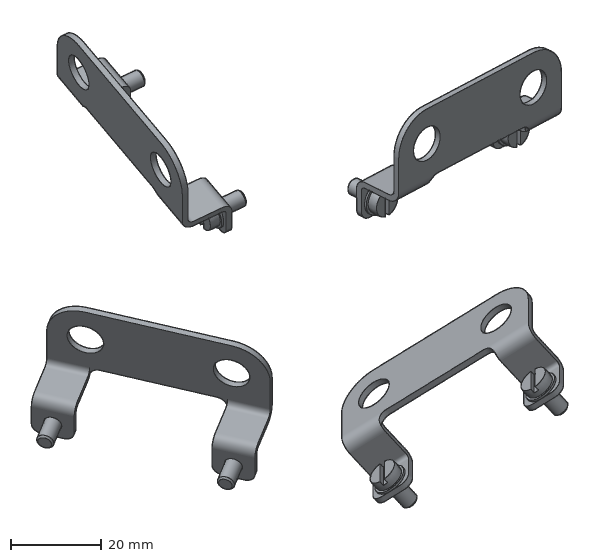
import cadquery as cq


length = 52.0
height = 30.0
depth = 13.0
sheet = 1.5
web_bottom = 9.0
front_bend_inner = 1.5
rear_bend_inner = 1.0
front_bend_outer = front_bend_inner + sheet
rear_bend_outer = rear_bend_inner + sheet
web_top = web_bottom + sheet
plate_bottom = web_bottom + front_bend_outer

plate_corner_radius = 9.0
plate_hole_diameter = 8.5
tab_width = 10.0
tab_corner_radius = 2.5

clearance_hole_diameter = 4.2
screw_x = length / 2 - tab_width / 2
screw_z = 4.0
washer_diameter = 8.0
washer_thickness = 0.5
shank_diameter = 4.0
shank_protrusion = 6.0
shank_chamfer = 0.4
head_height = 2.6
head_end_diameter = 6.8
head_middle_diameter = 7.0
slot_width = 1.2
slot_depth = 1.2

tab_front = depth - sheet
head_back = tab_front - washer_thickness
head_front = head_back - head_height
shank_tip = depth + shank_protrusion


def cylinder_along_y(diameter, x, z, y_start, y_end):
    plane = cq.Plane(origin=(x, y_start, z), xDir=(1, 0, 0), normal=(0, 1, 0))
    return cq.Workplane(plane).circle(diameter / 2).extrude(y_end - y_start)


def bent_sheet():
    """Z-shaped cross-section with rounded bends, extruded over the whole length."""
    sheet_body = (
        cq.Workplane("YZ", origin=(-length / 2, 0, 0))
        .moveTo(0, height)
        .lineTo(0, web_bottom)
        .lineTo(tab_front, web_bottom)
        .lineTo(tab_front, 0)
        .lineTo(depth, 0)
        .lineTo(depth, web_top)
        .lineTo(sheet, web_top)
        .lineTo(sheet, height)
        .close()
        .extrude(length)
    )
    bends = [
        (0, web_bottom, front_bend_outer),
        (sheet, web_top, front_bend_inner),
        (tab_front, web_bottom, rear_bend_inner),
        (depth, web_top, rear_bend_outer),
    ]
    for y, z, radius in bends:
        corner = cq.selectors.NearestToPointSelector((0, y, z))
        sheet_body = sheet_body.edges("|X").edges(corner).fillet(radius)
    return sheet_body


def front_outline():
    """Bracket outline in the XZ plane: plate with rounded top corners and two rounded tabs below.

    It reaches well past the bracket's front and rear faces.
    """
    end_x = length / 2
    notch_x = end_x - tab_width
    return (
        cq.Workplane("XZ")
        .moveTo(-end_x, height)
        .lineTo(end_x, height)
        .lineTo(end_x, 0)
        .lineTo(notch_x, 0)
        .lineTo(notch_x, plate_bottom)
        .lineTo(-notch_x, plate_bottom)
        .lineTo(-notch_x, 0)
        .lineTo(-end_x, 0)
        .close()
        .extrude(2 * depth, both=True)
        .edges("|Y and (not >Z)")
        .fillet(tab_corner_radius)
        .edges("|Y and >Z")
        .fillet(plate_corner_radius)
    )


def web_gap():
    """Straight-sided gap between the tabs, behind the plate: only the plate has rounded notch corners."""
    gap = cq.Workplane("XY").box(
        length - 2 * tab_width, depth, plate_bottom, centered=(True, False, False)
    )
    return gap.translate((0, sheet, 0))


def make_bracket():
    bracket = bent_sheet().intersect(front_outline()).cut(web_gap())
    plate_hole_x = length / 2 - plate_corner_radius
    plate_hole_z = height - plate_corner_radius
    for side in (-1, 1):
        plate_hole = cylinder_along_y(plate_hole_diameter, side * plate_hole_x, plate_hole_z, 0, sheet)
        tab_hole = cylinder_along_y(clearance_hole_diameter, side * screw_x, screw_z, tab_front, depth)
        bracket = bracket.cut(plate_hole).cut(tab_hole)
    return bracket


def make_washer(x):
    disc = cylinder_along_y(washer_diameter, x, screw_z, head_back, tab_front)
    hole = cylinder_along_y(clearance_hole_diameter, x, screw_z, head_back, tab_front)
    return disc.cut(hole)


def make_screw(x):
    """Screw with a slightly barrelled, slotted head, turned about its axis."""
    head_end_radius = head_end_diameter / 2
    shank_radius = shank_diameter / 2
    screw = (
        cq.Workplane("XY")
        .moveTo(0, head_front)
        .lineTo(head_end_radius, head_front)
        .threePointArc(
            (head_middle_diameter / 2, head_front + head_height / 2),
            (head_end_radius, head_back),
        )
        .lineTo(shank_radius, head_back)
        .lineTo(shank_radius, shank_tip - shank_chamfer)
        .lineTo(shank_radius - shank_chamfer, shank_tip)
        .lineTo(0, shank_tip)
        .close()
        .revolve(360, (0, 0, 0), (0, 1, 0))
    )
    slot = cq.Workplane("XY").box(slot_width, slot_depth, head_middle_diameter)
    slot = slot.translate((0, head_front + slot_depth / 2, 0))
    return screw.cut(slot).translate((x, 0, screw_z))


bracket = make_bracket()
washers = [make_washer(x) for x in (-screw_x, screw_x)]
screws = [make_screw(x) for x in (-screw_x, screw_x)]

bodies = [bracket, *washers, *screws]
result = cq.Compound.makeCompound([body.solids().val() for body in bodies])